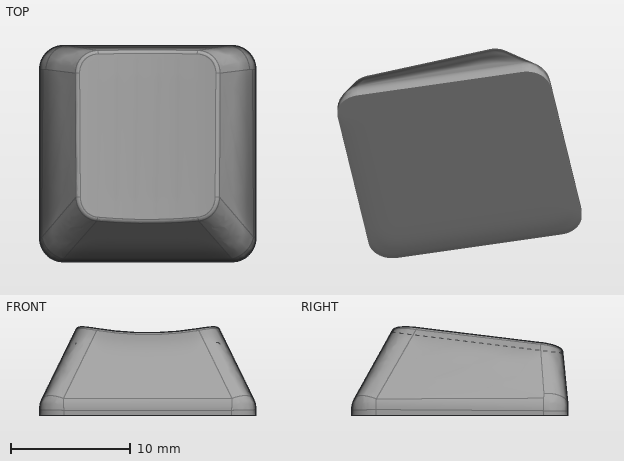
import math

import cadquery as cq

base_size = 18.16
base_half = base_size / 2
skirt_height = 0.98

top_tilt = math.radians(7.0)
top_plane_height = 7.3
top_half_width = 5.78
top_front_y = -5.21
top_back_y = 8.56

side_radius = 2.04

dish_radius = 24.6
dish_floor_height = 6.29
dish_length = 2 * base_size
rim_radius = 0.33


def sloped_plane(height):
    """Plane tilted like the top, crossing the vertical axis at the given height."""
    normal = (0, math.sin(top_tilt), math.cos(top_tilt))
    return cq.Plane(origin=(0, 0, height), xDir=(1, 0, 0), normal=normal)


def rectangle(half_width, front_y, back_y, height_at):
    """Closed rectangle whose corner heights follow height_at(y)."""
    corners = [
        cq.Vector(-half_width, front_y, height_at(front_y)),
        cq.Vector(half_width, front_y, height_at(front_y)),
        cq.Vector(half_width, back_y, height_at(back_y)),
        cq.Vector(-half_width, back_y, height_at(back_y)),
    ]
    return cq.Wire.makePolygon(corners, close=True)


def make_skirt():
    return cq.Workplane("XY").rect(base_size, base_size).extrude(skirt_height)


def make_taper():
    bottom = rectangle(base_half, -base_half, base_half, lambda y: skirt_height)
    top = rectangle(
        top_half_width,
        top_front_y,
        top_back_y,
        lambda y: top_plane_height - y * math.tan(top_tilt),
    )
    return cq.Workplane(cq.Solid.makeLoft([bottom, top], True))


def round_sides(body):
    """Round every edge except those of the bottom and the top faces."""
    top_center = (0, 0, top_plane_height)
    bottom_edges = body.faces("<Z").edges()
    top_edges = body.faces(cq.selectors.NearestToPointSelector(top_center)).edges()
    kept_sharp = bottom_edges.add(top_edges)
    side_edges = [edge for edge in body.edges().vals() if edge not in kept_sharp.vals()]
    return body.newObject(side_edges).fillet(side_radius)


def make_dish():
    plane = sloped_plane(dish_floor_height)
    start = plane.toWorldCoords((0, -dish_length / 2, dish_radius))
    return cq.Workplane(cq.Solid.makeCylinder(dish_radius, dish_length, start, plane.yDir))


def round_rim(body):
    dish_center = (0, 0, dish_floor_height)
    return body.faces(cq.selectors.NearestToPointSelector(dish_center)).edges().fillet(rim_radius)


keycap = round_sides(make_skirt().union(make_taper()))
keycap = keycap.cut(make_dish())
result = round_rim(keycap)